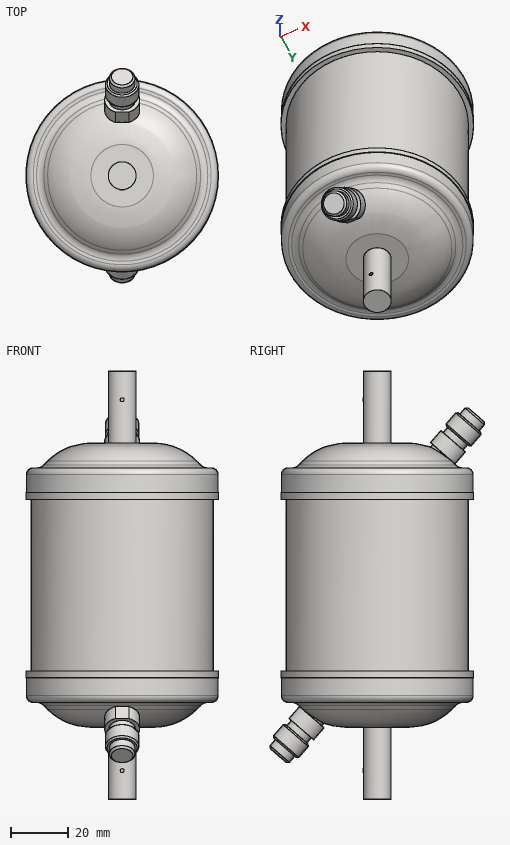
import cadquery as cq
import math

total_height = 149.0
half_height = total_height / 2

body_radius = 31.7
band_radius = 33.5
band_bottom = 29.8
seam_height = 32.2
seam_step = 0.1
cap_radius = band_radius - seam_step
cap_top = 40.8
cap_rounding = 2.4

dome_top = 49.5
dome_flat_radius = 10.9
dome_arc_radius = 21.3
dome_arc_angle = math.radians(45)
dome_foot_radius = 29.8

tube_diameter = 9.7
tube_radius = tube_diameter / 2
stud_diameter = 1.3
stud_protrusion = 0.1
stud_height = 64.5

fitting_angle = 49.0
tip_y = 34.4
tip_z = 59.3
tip_radius = 4.5
tip_chamfer = 0.7
tip_length = 3.6
collar_diameter = 11.6
collar_radius = collar_diameter / 2
collar_chamfer = 0.6
collar_end = 9.8
neck_radius = 4.6
nut_start = 12.2
nut_end = 17.7
nut_radius = 6.1
nut_across_flats = 11.3
stem_end = 23.8


def arc_point(center_r, center_z, radius, angle):
    """Point on an arc, with the angle measured from the +Z direction."""
    return (center_r + radius * math.sin(angle), center_z + radius * math.cos(angle))


def make_upper_end():
    """Upper end of the shell: seam band, rounded cap, dome and tube."""
    dome_center_z = dome_top - dome_arc_radius
    dome_mid = arc_point(dome_flat_radius, dome_center_z, dome_arc_radius, dome_arc_angle / 2)
    dome_end = arc_point(dome_flat_radius, dome_center_z, dome_arc_radius, dome_arc_angle)

    drop = dome_end[1] - cap_top
    run = dome_foot_radius - dome_end[0]
    straight_drop_per_run = math.tan(dome_arc_angle)
    foot_radius = (run * straight_drop_per_run - drop) / (
        math.sin(dome_arc_angle) * straight_drop_per_run - (1 - math.cos(dome_arc_angle))
    )
    foot_center_z = cap_top + foot_radius
    foot_start = arc_point(dome_foot_radius, foot_center_z, -foot_radius, dome_arc_angle)
    foot_mid = arc_point(dome_foot_radius, foot_center_z, -foot_radius, dome_arc_angle / 2)

    rounding_mid = arc_point(
        cap_radius - cap_rounding, cap_top - cap_rounding, cap_rounding, math.radians(45)
    )
    return (
        cq.Workplane("XZ")
        .moveTo(0, band_bottom)
        .lineTo(band_radius, band_bottom)
        .lineTo(band_radius, seam_height)
        .lineTo(cap_radius, seam_height + seam_step)
        .lineTo(cap_radius, cap_top - cap_rounding)
        .threePointArc(rounding_mid, (cap_radius - cap_rounding, cap_top))
        .lineTo(dome_foot_radius, cap_top)
        .threePointArc(foot_mid, foot_start)
        .lineTo(*dome_end)
        .threePointArc(dome_mid, (dome_flat_radius, dome_top))
        .lineTo(tube_radius, dome_top)
        .lineTo(tube_radius, half_height)
        .lineTo(0, half_height)
        .close()
        .revolve(360, (0, 0, 0), (0, 1, 0))
    )


def make_upper_fitting():
    """Stepped fitting and round nut with two wrench flats, tilted outward toward +Y."""
    tilt = math.radians(fitting_angle)
    inward = cq.Vector(0, -math.cos(tilt), -math.sin(tilt))
    plane = cq.Plane(origin=(0, tip_y, tip_z), xDir=(1, 0, 0), normal=inward)

    def cylinder(radius, start, end):
        return cq.Workplane(plane).workplane(offset=start).circle(radius).extrude(end - start)

    tip = cylinder(tip_radius, 0, tip_length).faces(">(0, 1, 1)").chamfer(tip_chamfer)
    collar = cylinder(collar_radius, tip_length, collar_end).edges().chamfer(collar_chamfer)
    stem = cylinder(neck_radius, tip_length, stem_end)
    nut_length = nut_end - nut_start
    flats = (
        cq.Workplane(plane)
        .workplane(offset=nut_start)
        .rect(2 * nut_radius, nut_across_flats)
        .extrude(nut_length)
    )
    nut = cylinder(nut_radius, nut_start, nut_end).intersect(flats)
    return stem.union(tip).union(collar).union(nut)


def make_stud(height):
    """Small round stud on the -Y side of a tube."""
    return (
        cq.Workplane("XZ", origin=(0, 0, height))
        .circle(stud_diameter / 2)
        .extrude(tube_radius + stud_protrusion)
    )


upper_end = make_upper_end()
upper_fitting = make_upper_fitting()

body = cq.Workplane("XY").circle(body_radius).extrude(band_bottom, both=True)
result = body.union(upper_end).union(upper_end.mirror("XY"))
result = result.union(upper_fitting)
result = result.union(upper_fitting.rotate((0, 0, 0), (1, 0, 0), 180))
for height in (stud_height, -stud_height):
    result = result.union(make_stud(height))